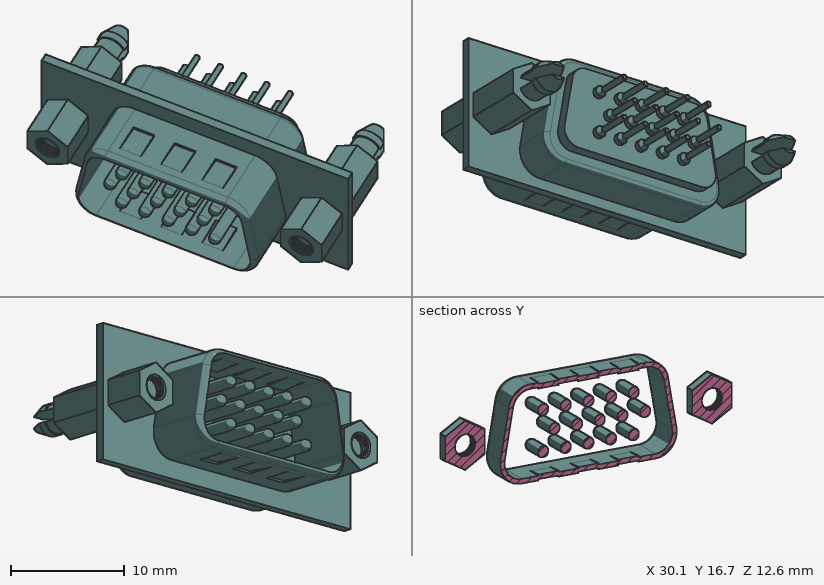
import cadquery as cq
import math


flange_width = 30.1
flange_height = 12.55
flange_thickness = 0.8
flange_back_y = flange_thickness

side_lean = math.radians(10.0)

shell_half_height = 4.58
shell_mid_half_width = 8.55
shell_corner_radius = 2.2
shell_length = 6.0
shell_wall = 0.48
shell_lip_radius = 0.7
cavity_floor_y = 0.0

dent_width = 2.05
dent_length = 2.68
dent_depth = 0.2
dent_pitch = 4.03
dent_back_y = -1.9

rear_shell_half_height = 5.25
rear_shell_mid_half_width = 9.0
rear_shell_length = 3.9
rear_shell_edge_radius = 0.42
block_half_height = 3.97
block_mid_half_width = 7.8
block_corner_radius = 1.5
block_length = 4.9

contact_pitch = 2.3
contact_row_pitch = 1.95
contacts_per_row = 5
contact_radius = 0.55
contact_tip_y = -5.72
collar_radius = 0.5
collar_length = 0.45
collar_taper_length = 0.45
tail_radius = 0.255
tail_length = 8.9
tail_chamfer = 0.05

hex_flats = 4.0
head_spacing = 24.92
head_length = 4.0
thread_crest_radius = 1.0
thread_root_radius = 1.17
thread_pitch = 0.25
thread_turns = 4
drill_tip_angle = math.radians(59.0)
standoff_spacing = 25.1
standoff_z = -0.12
standoff_length = 6.0
peg_neck_radius = 1.32
peg_barb_radius = 1.45
peg_tip_radius = 0.8
peg_barb_start = 7.8
peg_taper_start = 8.52
peg_length = 9.95
peg_slot = 1.05


def d_prism(half_height, mid_half_width, corner_radius, front_y, back_y):
    """Rounded trapezoid, wider at the bottom, running along Y."""
    lean_shift = half_height * math.tan(side_lean)
    top = mid_half_width - lean_shift
    bottom = mid_half_width + lean_shift
    corners = [(-bottom, -half_height), (bottom, -half_height), (top, half_height), (-top, half_height)]
    prism = cq.Workplane("XZ", origin=(0, front_y, 0)).polyline(corners).close().extrude(front_y - back_y)
    return prism.edges("|Y").fillet(corner_radius)


def turned(profile, x, z):
    """Solid of revolution about a Y axis through (x, z) from (radius, y) points."""
    return (
        cq.Workplane("XY", origin=(x, 0, z))
        .polyline(profile)
        .close()
        .revolve(360, (0, 0, 0), (0, 1, 0))
    )


def hex_bar(x, z, front_y, back_y):
    """Hexagonal bar along Y with its points up and down."""
    corner_diameter = hex_flats / math.cos(math.pi / 6)
    return (
        cq.Workplane("XZ", origin=(x, front_y, z))
        .transformed(rotate=(0, 0, 90))
        .polygon(6, corner_diameter)
        .extrude(front_y - back_y)
    )


def dent_wedge(x, surface_z, side):
    """Wedge with its deep end at the back, sinking from surface_z toward the middle of the shell."""
    deep_z = side * (surface_z - dent_depth)
    profile = [
        (dent_back_y - dent_length, side * surface_z),
        (dent_back_y, side * surface_z),
        (dent_back_y, deep_z),
    ]
    return (
        cq.Workplane("YZ", origin=(x - dent_width / 2, 0, 0))
        .polyline(profile)
        .close()
        .extrude(dent_width)
    )


def front_shell():
    shell = d_prism(shell_half_height, shell_mid_half_width, shell_corner_radius, -shell_length, flange_back_y)
    shell = shell.faces("<Y").edges().fillet(shell_lip_radius)
    cavity_half_height = shell_half_height - shell_wall
    cavity = d_prism(
        cavity_half_height,
        shell_mid_half_width - shell_wall / math.cos(side_lean),
        shell_corner_radius - shell_wall,
        -shell_length,
        cavity_floor_y,
    )
    shell = shell.cut(cavity)
    for side in (-1, 1):
        for step in (-1, 0, 1):
            shell = shell.union(dent_wedge(step * dent_pitch, cavity_half_height, side))
            shell = shell.cut(dent_wedge(step * dent_pitch, shell_half_height, side))
    return shell


def rear_body():
    rear_shell = d_prism(
        rear_shell_half_height,
        rear_shell_mid_half_width,
        shell_corner_radius,
        0,
        flange_back_y + rear_shell_length,
    )
    rear_shell = rear_shell.faces(">Y").edges().fillet(rear_shell_edge_radius)
    block = d_prism(
        block_half_height, block_mid_half_width, block_corner_radius, 0, flange_back_y + block_length
    )
    return rear_shell.union(block)


def contact(x, z):
    """Round-tipped pin in front, stepped solder tail behind."""
    collar_end = flange_back_y + block_length + collar_length
    tail_start = collar_end + collar_taper_length
    tail_end = flange_back_y + tail_length
    tip_center_y = contact_tip_y + contact_radius
    half_arc = contact_radius * math.sqrt(0.5)
    pin = (
        cq.Workplane("XY", origin=(x, 0, z))
        .moveTo(0, contact_tip_y)
        .threePointArc((half_arc, tip_center_y - half_arc), (contact_radius, tip_center_y))
        .lineTo(contact_radius, flange_back_y)
        .lineTo(0, flange_back_y)
        .close()
        .revolve(360, (0, 0, 0), (0, 1, 0))
    )
    tail = turned(
        [
            (0, 0),
            (collar_radius, 0),
            (collar_radius, collar_end),
            (tail_radius, tail_start),
            (tail_radius, tail_end - tail_chamfer),
            (tail_radius - tail_chamfer, tail_end),
            (0, tail_end),
        ],
        x,
        z,
    )
    return pin.union(tail)


def jack_head(x):
    """Hex head with a blind threaded hole, its thread as V-shaped rings, ending in a drill cone."""
    head = hex_bar(x, 0, -head_length, 0)
    hole_end = thread_turns * thread_pitch - head_length
    profile = [(0, -head_length)]
    for turn in range(thread_turns):
        root_y = turn * thread_pitch - head_length
        profile.append((thread_root_radius, root_y))
        profile.append((thread_crest_radius, root_y + thread_pitch / 2))
    profile.append((thread_crest_radius, hole_end))
    profile.append((0, hole_end + thread_crest_radius / math.tan(drill_tip_angle)))
    return head.cut(turned(profile, x, 0))


def standoff(x):
    """Hex standoff carrying a barbed peg split by a horizontal slot."""
    body = hex_bar(x, standoff_z, 0, flange_back_y + standoff_length)
    peg_start = flange_back_y + standoff_length
    peg_end = flange_back_y + peg_length
    barb_y = flange_back_y + peg_barb_start
    taper_y = flange_back_y + peg_taper_start
    peg = turned(
        [
            (0, peg_start),
            (peg_neck_radius, peg_start),
            (peg_neck_radius, barb_y),
            (peg_barb_radius, barb_y),
            (peg_barb_radius, taper_y),
            (peg_tip_radius, peg_end),
            (0, peg_end),
        ],
        x,
        standoff_z,
    )
    slot = cq.Workplane("XY").box(
        2 * peg_barb_radius, peg_end - peg_start, peg_slot, centered=(True, False, True)
    )
    return body.union(peg.cut(slot.translate((x, peg_start, standoff_z))))


flange = cq.Workplane("XY").box(
    flange_width, flange_thickness, flange_height, centered=(True, False, True)
)
result = flange.union(rear_body()).union(front_shell())

for row in (-1, 0, 1):
    row_shift = -contact_pitch / 2 if row == 0 else 0
    for index in range(contacts_per_row):
        contact_x = (index - (contacts_per_row - 1) / 2) * contact_pitch + row_shift
        result = result.union(contact(contact_x, row * contact_row_pitch))

for side in (-1, 1):
    result = result.union(jack_head(side * head_spacing / 2))
    result = result.union(standoff(side * standoff_spacing / 2))